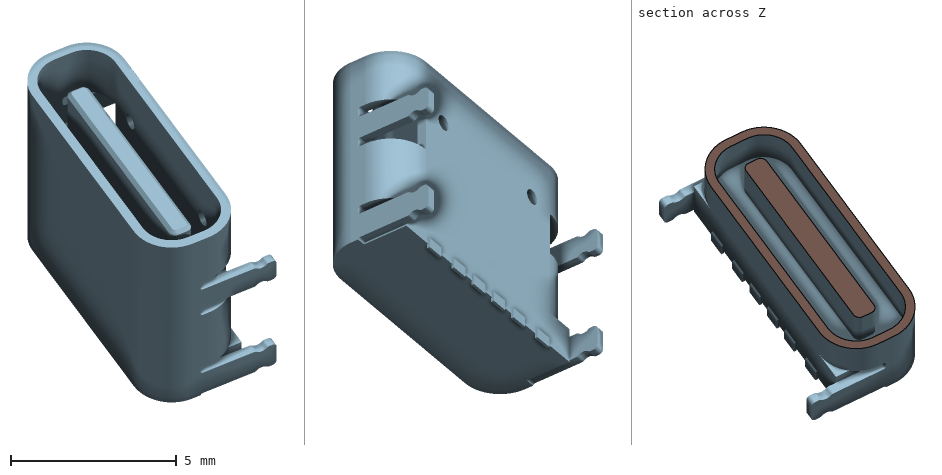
import cadquery as cq

shell_width = 8.95
shell_depth = 3.16
shell_height = 6.85
corner_radius = 1.3
wall = 0.3
cavity_width = shell_width - 2 * wall
cavity_depth = shell_depth - 2 * wall
cavity_radius = corner_radius - wall
back_y = shell_depth / 2
corner_x = shell_width / 2 - corner_radius
corner_y = back_y - corner_radius

base_height = 1.25

tongue_width = 6.73
tongue_thickness = 0.73
tongue_top = 6.25
tongue_radius = 0.215
tongue_chamfer = 0.12

overall_depth = 4.2
leg_tip_y = overall_depth - back_y
leg_tip_radius = 0.15
leg_root_y = 0.0
lower_leg_bottom = 0.06
lower_leg_top = 0.96
upper_leg_bottom = 3.84
upper_leg_top = 4.645
neck_setback = 0.52
neck_y = leg_tip_y - neck_setback
neck_radius = 0.27
neck_depth = 0.1
neck_blend = 0.14

upper_slot_bottom = 3.52
upper_slot_top = 5.0
slot_end_radius = 0.09

hole_x = 2.26
hole_z = 5.08
hole_diameter = 0.51

tail_thickness = 0.1
tail_overhang = 0.06
tail_drop = 0.15
tail_top = 0.27
tail_bend_radius = 0.09
inner_tail_width = 0.58
outer_tail_width = 0.61
tail_layout = [(0.51, inner_tail_width), (1.52, inner_tail_width), (2.76, outer_tail_width)]


def box(x_range, y_range, z_range):
    """Box spanning the given (low, high) ranges."""
    low, high = zip(x_range, y_range, z_range)
    size = [b - a for a, b in zip(low, high)]
    return cq.Workplane("XY").box(*size, centered=False).translate(low)


def rounded_prism(width, depth, radius, height):
    """Upright prism centred on Z, standing on Z = 0, with rounded vertical edges."""
    return cq.Workplane("XY").rect(width, depth).extrude(height).edges("|Z").fillet(radius)


def both_sides(half):
    """The given left-hand shape together with its mirror image on the right."""
    return half.union(half.mirror("YZ"))


def slot(z_low, z_high):
    """Cutter through the left back corner, with a round-cornered end in the side wall."""
    cutter = box((-shell_width, -corner_x), (leg_root_y, shell_depth), (z_low, z_high))
    return cutter.edges("|X and <Y").fillet(slot_end_radius)


def corner_gap(z_low, z_high):
    """Cutter that removes the curved corner behind a left-hand leg."""
    return box((-shell_width, -corner_x), (corner_y, shell_depth), (z_low, z_high))


def leg(z_low, z_high):
    """Left-hand leg with a rounded tip and a necked-in waist near it."""
    x_range = (-shell_width / 2, wall - shell_width / 2)
    blank = box(x_range, (leg_root_y, leg_tip_y), (z_low, z_high))
    blank = blank.edges("|X and >Y").fillet(leg_tip_radius)
    rise = neck_radius - neck_depth
    necks = (
        cq.Workplane("YZ", origin=(-shell_width, 0, 0))
        .pushPoints([(neck_y, z_low - rise), (neck_y, z_high + rise)])
        .circle(neck_radius)
        .extrude(shell_width)
    )
    around_neck = cq.selectors.BoxSelector(
        (-shell_width, neck_y - neck_radius, 0),
        (0, neck_y + neck_radius, shell_height),
    )
    return blank.cut(necks).edges("|X").edges(around_neck).fillet(neck_blend)


shell = rounded_prism(shell_width, shell_depth, corner_radius, shell_height)
cavity = rounded_prism(cavity_width, cavity_depth, cavity_radius, shell_height)
shell = shell.cut(cavity)
openings = [
    slot(-base_height, lower_leg_bottom),
    slot(lower_leg_top, base_height),
    slot(upper_slot_bottom, upper_leg_bottom),
    slot(upper_leg_top, upper_slot_top),
    corner_gap(0, base_height),
    corner_gap(upper_slot_bottom, upper_slot_top),
]
for cutter in openings:
    shell = shell.cut(both_sides(cutter))
back_holes = (
    cq.Workplane("XZ")
    .pushPoints([(-hole_x, hole_z), (hole_x, hole_z)])
    .circle(hole_diameter / 2)
    .extrude(-shell_depth)
)
shell = shell.cut(back_holes)

base = box((-cavity_width / 2, cavity_width / 2), (0, back_y), (0, base_height))
base_plug = rounded_prism(cavity_width, cavity_depth, cavity_radius, base_height)
base = base.union(base_plug)
tongue = rounded_prism(tongue_width, tongue_thickness, tongue_radius, tongue_top)
tongue = tongue.faces(">Z").chamfer(tongue_chamfer)

result = shell.union(base).union(tongue)

for z_range in [(lower_leg_bottom, lower_leg_top), (upper_leg_bottom, upper_leg_top)]:
    result = result.union(both_sides(leg(*z_range)))

tail_back = back_y + tail_overhang
for tail_x, tail_width in tail_layout:
    tail = box(
        (-tail_x - tail_width / 2, -tail_x + tail_width / 2),
        (tail_back - tail_thickness, tail_back),
        (-tail_drop, tail_top),
    )
    tail = tail.edges(">Y and >Z").fillet(tail_bend_radius)
    result = result.union(both_sides(tail))